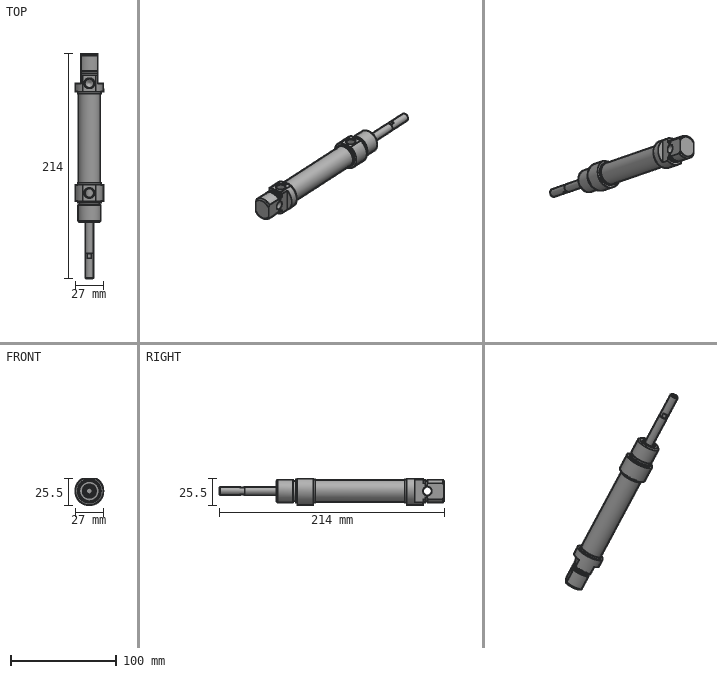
import cadquery as cq
import math

FLANGE_DIA = 27.0
LIP_DIA = 22.3
THREAD_DIA = 22.0
GROOVE_DIA = 19.7
BARREL_DIA = 21.2
ROD_DIA = 8.1
ROD_END_DIA = 8.0
ROD_TIP_DIA = 6.0

OVERALL_LENGTH = 214.0
NOSE_FRONT = 54.0
NOSE_LENGTH = 16.0
NECK_LENGTH = 3.9
NECK_LIP_LENGTH = 1.3
FLANGE_LENGTH = 15.6
LIP_LENGTH = 2.0
REAR_THREAD_LENGTH = 15.8
REAR_GROOVE_LENGTH = 2.4
REAR_TAIL_LENGTH = 20.1

NOSE_REAR = NOSE_FRONT + NOSE_LENGTH
FRONT_FLANGE_START = NOSE_REAR + NECK_LENGTH
FRONT_FLANGE_END = FRONT_FLANGE_START + FLANGE_LENGTH
BARREL_FRONT = FRONT_FLANGE_END + LIP_LENGTH
REAR_FLANGE_END = OVERALL_LENGTH - REAR_TAIL_LENGTH
REAR_FLANGE_START = REAR_FLANGE_END - FLANGE_LENGTH
BARREL_REAR = REAR_FLANGE_START - LIP_LENGTH

END_CHAMFER = 1.5
THREAD_RUNOUT = 0.5
PORT_FACE_HEIGHT = 12.0
TAIL_WIDTH = 16.0
TAIL_FLAT_LENGTH = REAR_TAIL_LENGTH + FLANGE_LENGTH / 2
PIVOT_HOLE_DIA = 8.1
PIVOT_FROM_END = 16.0

PORT_DIA = 8.5
PORT_RIM_DIA = 9.8
PORT_DEPTH = 6.5
DRILL_TIP_ANGLE = 118.0

ROD_SEAL_DIA = 12.8
ROD_SEAL_DEPTH = 1.3
ROD_SEAL_FLOOR_DIA = 12.0
ROD_RELIEF_DIA = 9.2
ROD_RELIEF_DEPTH = 2.5

ROD_END_LENGTH = 24.2
WRENCH_FLAT_FRONT = 19.7
WRENCH_FLAT_LENGTH = 4.0
WRENCH_FLAT_WIDTH = 6.8


def cylinder_y(dia, start, length):
    """Cylinder on the Y axis from start toward +Y."""
    return cq.Workplane(cq.Solid.makeCylinder(dia / 2, length, cq.Vector(0, start, 0), cq.Vector(0, 1, 0)))


def turned(profile):
    """Revolve (diameter, y) corners about the Y axis, closing the outline on the axis."""
    points = [(0, profile[0][1])]
    points += [(dia / 2, y) for dia, y in profile]
    points.append((0, profile[-1][1]))
    return cq.Workplane("XY").polyline(points).close().revolve(360, (0, 0), (0, 1))


def port_face_cut(flange_start):
    """Block that trims the top of a flange to a flat port face."""
    return cq.Workplane("XY").box(
        FLANGE_DIA, FLANGE_LENGTH, FLANGE_DIA, centered=(True, False, False)
    ).translate((0, flange_start, PORT_FACE_HEIGHT))


def port_cut(flange_start, depth, pointed):
    """Port hole with a chamfered rim, ending in a drill point or flat."""
    radius = PORT_DIA / 2
    rim_radius = PORT_RIM_DIA / 2
    bottom = PORT_FACE_HEIGHT - depth
    tip_height = radius / math.tan(math.radians(DRILL_TIP_ANGLE / 2)) if pointed else 0
    points = [(0, PORT_FACE_HEIGHT), (rim_radius, PORT_FACE_HEIGHT)]
    points.append((radius, PORT_FACE_HEIGHT - (rim_radius - radius)))
    points.append((radius, bottom))
    points.append((0, bottom - tip_height))
    hole = cq.Workplane("XZ").polyline(points).close().revolve(360, (0, 0), (0, 1))
    return hole.translate((0, flange_start + FLANGE_LENGTH / 2, 0))


def make_front_cap():
    """Threaded nose, grooved neck, ported flange and lip, bored for the rod."""
    neck_lip_start = FRONT_FLANGE_START - NECK_LIP_LENGTH
    cap = turned([
        (THREAD_DIA - 2 * END_CHAMFER, NOSE_FRONT),
        (THREAD_DIA, NOSE_FRONT + END_CHAMFER),
        (THREAD_DIA, NOSE_REAR),
        (GROOVE_DIA, NOSE_REAR + THREAD_RUNOUT),
        (GROOVE_DIA, neck_lip_start),
        (LIP_DIA, neck_lip_start),
        (LIP_DIA, FRONT_FLANGE_START),
        (FLANGE_DIA, FRONT_FLANGE_START),
        (FLANGE_DIA, FRONT_FLANGE_END),
        (LIP_DIA, FRONT_FLANGE_END),
        (LIP_DIA, BARREL_FRONT),
    ])
    cap = cap.cut(port_face_cut(FRONT_FLANGE_START))
    cap = cap.cut(port_cut(FRONT_FLANGE_START, PORT_FACE_HEIGHT, pointed=False))
    cap = cap.cut(cylinder_y(ROD_DIA, NOSE_FRONT, BARREL_FRONT - NOSE_FRONT))
    cap = cap.cut(cylinder_y(ROD_RELIEF_DIA, NOSE_FRONT, ROD_RELIEF_DEPTH))
    seal_seat = turned([
        (ROD_SEAL_DIA, NOSE_FRONT),
        (ROD_SEAL_FLOOR_DIA, NOSE_FRONT + ROD_SEAL_DEPTH),
    ])
    return cap.cut(seal_seat)


def make_barrel():
    """Plain barrel between the caps."""
    return cylinder_y(BARREL_DIA, BARREL_FRONT, BARREL_REAR - BARREL_FRONT)


def make_rear_cap():
    """Lip, ported flange and threaded tail with two side flats and a pivot hole."""
    groove_rear = OVERALL_LENGTH - REAR_THREAD_LENGTH
    groove_front = groove_rear - REAR_GROOVE_LENGTH
    cap = turned([
        (LIP_DIA, BARREL_REAR),
        (LIP_DIA, REAR_FLANGE_START),
        (FLANGE_DIA, REAR_FLANGE_START),
        (FLANGE_DIA, REAR_FLANGE_END),
        (THREAD_DIA, REAR_FLANGE_END),
        (THREAD_DIA, groove_front),
        (GROOVE_DIA, groove_front),
        (GROOVE_DIA, groove_rear - THREAD_RUNOUT),
        (THREAD_DIA, groove_rear),
        (THREAD_DIA, OVERALL_LENGTH - END_CHAMFER),
        (THREAD_DIA - 2 * END_CHAMFER, OVERALL_LENGTH),
    ])
    cap = cap.cut(port_face_cut(REAR_FLANGE_START))
    cap = cap.cut(port_cut(REAR_FLANGE_START, PORT_DEPTH, pointed=True))

    flat_start = OVERALL_LENGTH - TAIL_FLAT_LENGTH
    for side in (-1, 1):
        flat_cut = cq.Workplane("XY").box(
            FLANGE_DIA, TAIL_FLAT_LENGTH, FLANGE_DIA, centered=(True, False, True)
        ).translate((side * (TAIL_WIDTH + FLANGE_DIA) / 2, flat_start, 0))
        cap = cap.cut(flat_cut)

    pivot = cq.Workplane("YZ").center(OVERALL_LENGTH - PIVOT_FROM_END, 0)
    return cap.cut(pivot.circle(PIVOT_HOLE_DIA / 2).extrude(FLANGE_DIA, both=True))


def make_rod():
    """Rod with a reduced, chamfered end and a pair of wrench flats."""
    rod = turned([
        (ROD_TIP_DIA, 0),
        (ROD_END_DIA, (ROD_END_DIA - ROD_TIP_DIA) / 2),
        (ROD_END_DIA, ROD_END_LENGTH),
        (ROD_DIA, ROD_END_LENGTH),
        (ROD_DIA, BARREL_FRONT),
    ])
    for side in (-1, 1):
        flat_cut = cq.Workplane("XY").box(
            ROD_DIA, WRENCH_FLAT_LENGTH, ROD_DIA, centered=(True, False, True)
        ).translate((0, WRENCH_FLAT_FRONT, side * (WRENCH_FLAT_WIDTH + ROD_DIA) / 2))
        rod = rod.cut(flat_cut)
    return rod


front_cap = make_front_cap()
barrel = make_barrel()
rear_cap = make_rear_cap()
rod = make_rod()

result = cq.Compound.makeCompound([front_cap.val(), barrel.val(), rear_cap.val(), rod.val()])